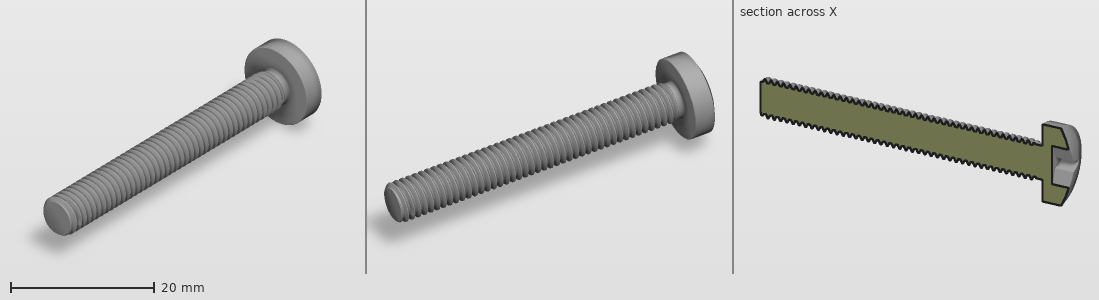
import cadquery as cq
import math


head_radius = 6.0
head_rim_height = 3.0
head_height = 4.6
rim_edge_chamfer = 0.08

recess_length = 5.8
wing_count = 4
wing_root_width = 1.7
wing_tip_width = 0.4
recess_depth = 3.0

shank_length = 45.0
neck_radius = 2.65
neck_length = 1.0
neck_fillet = 0.25
tip_cone_height = 0.05

pitch = 1.0
major_radius = 3.0
root_radius = 2.45
crest_flat = pitch / 8
root_flat = pitch / 4
thread_end_radius = 2.6
thread_end_taper = 0.6
ridge_embed = 0.05
envelope_clearance = 0.2


def make_head():
    """Cylindrical rim with a chamfered lower edge and a domed top."""
    dome_height = head_height - head_rim_height
    dome_radius = (head_radius**2 + dome_height**2) / (2 * dome_height)
    mid_radius = head_radius / 2
    mid_height = head_height - dome_radius + math.sqrt(dome_radius**2 - mid_radius**2)
    return (
        cq.Workplane("XZ")
        .moveTo(0, 0)
        .lineTo(head_radius - rim_edge_chamfer, 0)
        .lineTo(head_radius, rim_edge_chamfer)
        .lineTo(head_radius, head_rim_height)
        .threePointArc((mid_radius, mid_height), (0, head_height))
        .close()
        .revolve(360, (0, 0, 0), (0, 1, 0))
    )


def make_recess():
    """Cross of four wings, each narrowing outward, sunk straight into the crown of the head."""
    half_length = recess_length / 2
    half_root = wing_root_width / 2
    half_tip = wing_tip_width / 2
    wing = (
        cq.Workplane("XY")
        .workplane(offset=head_height - recess_depth)
        .moveTo(0, -half_root)
        .lineTo(half_root, -half_root)
        .lineTo(half_length, -half_tip)
        .lineTo(half_length, half_tip)
        .lineTo(half_root, half_root)
        .lineTo(0, half_root)
        .close()
        .extrude(recess_depth)
    )
    cross = wing
    for turn in range(1, wing_count):
        cross = cross.union(wing.rotate((0, 0, 0), (0, 0, 1), turn * 360 / wing_count))
    return cross


def make_neck():
    """Plain neck that flares into the underside of the head."""
    flare_radius = neck_radius + neck_fillet
    arc_mid_offset = neck_fillet * (1 - math.sqrt(0.5))
    return (
        cq.Workplane("XZ")
        .moveTo(0, -neck_length)
        .lineTo(neck_radius, -neck_length)
        .lineTo(neck_radius, -neck_fillet)
        .threePointArc((neck_radius + arc_mid_offset, -arc_mid_offset), (flare_radius, 0))
        .lineTo(0, 0)
        .close()
        .revolve(360, (0, 0, 0), (0, 1, 0))
    )


def make_thread_envelope():
    """Solid that trims the ridge to length and tapers it off at both ends."""
    outer_radius = major_radius + envelope_clearance
    taper = thread_end_taper * (outer_radius - thread_end_radius) / (major_radius - thread_end_radius)
    return (
        cq.Workplane("XZ")
        .moveTo(0, -neck_length)
        .lineTo(thread_end_radius, -neck_length)
        .lineTo(outer_radius, -neck_length - taper)
        .lineTo(outer_radius, -shank_length + tip_cone_height + taper)
        .lineTo(thread_end_radius, -shank_length + tip_cone_height)
        .lineTo(0, -shank_length + tip_cone_height)
        .close()
        .revolve(360, (0, 0, 0), (0, 1, 0))
    )


def make_core():
    """Rod at the root diameter of the thread, with a shallow conical tip."""
    return (
        cq.Workplane("XZ")
        .moveTo(0, -neck_length)
        .lineTo(root_radius, -neck_length)
        .lineTo(root_radius, -shank_length + tip_cone_height)
        .lineTo(0, -shank_length)
        .close()
        .revolve(360, (0, 0, 0), (0, 1, 0))
    )


def make_ridge():
    """Right-handed helical ridge rooted inside the core, with crests on the +X side at whole pitches."""
    start_z = -shank_length - pitch
    helix_length = shank_length + pitch
    flank_slope = (pitch - crest_flat - root_flat) / 2 / (major_radius - root_radius)
    base_radius = root_radius - ridge_embed
    half_crest = crest_flat / 2
    half_base = (pitch - root_flat) / 2 + ridge_embed * flank_slope
    helix = cq.Wire.makeHelix(pitch, helix_length, base_radius).translate(cq.Vector(0, 0, start_z))
    return (
        cq.Workplane("XZ")
        .moveTo(base_radius, start_z - half_base)
        .lineTo(major_radius, start_z - half_crest)
        .lineTo(major_radius, start_z + half_crest)
        .lineTo(base_radius, start_z + half_base)
        .close()
        .sweep(cq.Workplane(obj=helix), isFrenet=True)
    )


head = make_head().cut(make_recess())
threaded_rod = make_ridge().intersect(make_thread_envelope()).union(make_core())
screw = head.union(make_neck()).union(threaded_rod)
result = screw.rotate((0, 0, 0), (1, 0, 0), -90)